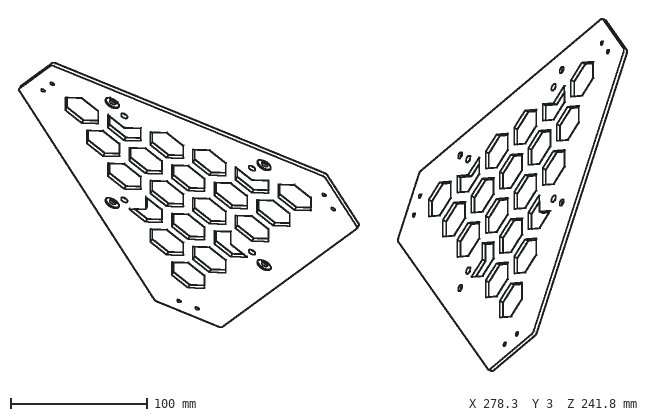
import cadquery as cq
import math

LENGTH_X = 278.3
THICKNESS = 3.0
CORNER_CUT = 54.5
CORNER_RADIUS = 3.0

HEX_ROWS = 6
HEX_FLATS = 27.0
TOP_ROW_WIDTH = 175.0
TOP_ROW_DEPTH = 41.5

MOUNT_CENTRE_DEPTH = 79.0
SCREW_SPACING = 125.0
SCREW_HOLE_DIAMETER = 5.0
SCREW_HEAD_DIAMETER = 11.0
SCREW_HEAD_DEPTH = 1.0
PIN_PITCHES = 3
PIN_HOLE_DIAMETER = 5.3

EDGE_HOLE_SPACING = 15.0
EDGE_HOLE_INSET = 12.0
EDGE_HOLE_DIAMETER = 3.0

SIN_60 = math.sin(math.radians(60))

sharp_width = LENGTH_X + 2 * CORNER_RADIUS * (1 / SIN_60 - 1)
long_edge = sharp_width - CORNER_CUT

long_edge_distance = (long_edge + 2 * CORNER_CUT) / (4 * SIN_60)
cut_edge_distance = (2 * long_edge + CORNER_CUT) / (4 * SIN_60)

hex_circumradius = HEX_FLATS / (2 * SIN_60)
hex_pitch = TOP_ROW_WIDTH / (HEX_ROWS - 1)
row_pitch = hex_pitch * SIN_60
top_row_z = long_edge_distance - TOP_ROW_DEPTH
pin_spacing = PIN_PITCHES * hex_pitch
mount_centre_z = long_edge_distance - MOUNT_CENTRE_DEPTH

FILLED_CORNERS = {
    (0, 1): 90,
    (0, 4): 90,
    (3, 0): 150,
    (3, 2): 30,
}


def polar(radius, degrees):
    """Point at a distance and direction from the origin."""
    angle = math.radians(degrees)
    return radius * math.cos(angle), radius * math.sin(angle)


def front_plane():
    """Workplane on the front face (-Y), with local x along X and local y along Z."""
    return cq.Workplane("XZ", origin=(0, -THICKNESS / 2, 0))


def through_cutter(sketch):
    """Extrude closed outlines on the front plane through the plate."""
    return sketch.extrude(-THICKNESS)


def make_plate():
    half_long = long_edge / 2
    half_cut = CORNER_CUT / 2
    side_z = long_edge_distance - CORNER_CUT * SIN_60
    outline = [
        (-half_long, long_edge_distance),
        (half_long, long_edge_distance),
        (sharp_width / 2, side_z),
        (half_cut, -cut_edge_distance),
        (-half_cut, -cut_edge_distance),
        (-sharp_width / 2, side_z),
    ]
    plate = front_plane().polyline(outline).close().extrude(-THICKNESS)
    return plate.edges("|Y").fillet(CORNER_RADIUS)


def window_outline(centre, filled_corner):
    """Hexagon corners; a filled corner is folded in to the hexagon centre."""
    points = []
    for degrees in range(30, 390, 60):
        radius = 0 if degrees == filled_corner else hex_circumradius
        x, z = polar(radius, degrees)
        points.append((centre[0] + x, centre[1] + z))
    return points


def make_windows():
    sketch = front_plane()
    for row in range(HEX_ROWS):
        columns = HEX_ROWS - row
        for column in range(columns):
            centre = (
                (column - (columns - 1) / 2) * hex_pitch,
                top_row_z - row * row_pitch,
            )
            filled_corner = FILLED_CORNERS.get((row, column))
            sketch = sketch.polyline(window_outline(centre, filled_corner)).close()
    return through_cutter(sketch)


def square_plane(spacing):
    """Front plane with a point on each corner of a square around the mount centre."""
    return front_plane().center(0, mount_centre_z).rarray(spacing, spacing, 2, 2)


def make_edge_holes():
    centres = []
    for direction in (30, 150, 270):
        x, z = polar(cut_edge_distance - EDGE_HOLE_INSET, direction)
        dx, dz = polar(EDGE_HOLE_SPACING / 2, direction + 90)
        centres += [(x + dx, z + dz), (x - dx, z - dz)]
    return through_cutter(front_plane().pushPoints(centres).circle(EDGE_HOLE_DIAMETER / 2))


screw_holes = through_cutter(square_plane(SCREW_SPACING).circle(SCREW_HOLE_DIAMETER / 2))
screw_heads = square_plane(SCREW_SPACING).circle(SCREW_HEAD_DIAMETER / 2).extrude(-SCREW_HEAD_DEPTH)
pin_holes = through_cutter(square_plane(pin_spacing).circle(PIN_HOLE_DIAMETER / 2))

result = (
    make_plate()
    .cut(make_windows())
    .cut(screw_holes)
    .cut(screw_heads)
    .cut(pin_holes)
    .cut(make_edge_holes())
)